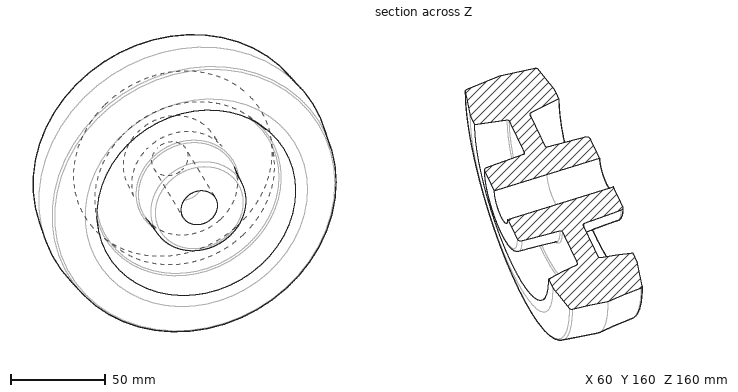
import cadquery as cq
import math

hub_length = 60.0
hub_radius = 26.0
hub_edge_fillet = 2.0
hub_draft = 3.0
bore_diameter = 20.0

web_thickness = 12.0
web_corner_fillet = 1.0

rim_width = 48.0
rim_inner_radius = 54.5
rim_draft = 11.0
rim_face_radius = 61.0

tread_diameter = 160.0
tread_half_width = 20.5
shoulder_radius = 77.85
shoulder_fillet = 1.4

hub_end = hub_length / 2
web_face = web_thickness / 2
rim_face = rim_width / 2
bore_radius = bore_diameter / 2
tread_radius = tread_diameter / 2

hub_base_radius = hub_radius + (hub_end - web_face) * math.tan(math.radians(hub_draft))
recess_floor_radius = rim_inner_radius - (rim_face - web_face) * math.tan(math.radians(rim_draft))

hub_edge = (-hub_end, hub_radius)
hub_base = (-web_face, hub_base_radius)
recess_floor_edge = (-web_face, recess_floor_radius)
shoulder = (-tread_half_width, shoulder_radius)
half_section = [
    (0, bore_radius),
    (-hub_end, bore_radius),
    hub_edge,
    hub_base,
    recess_floor_edge,
    (-rim_face, rim_inner_radius),
    (-rim_face, rim_face_radius),
    shoulder,
    (0, tread_radius),
]

corner_fillets = [
    (hub_edge, hub_edge_fillet),
    (hub_base, web_corner_fillet),
    (recess_floor_edge, web_corner_fillet),
    (shoulder, shoulder_fillet),
]


def rounded_section():
    """Face of the half section in the XY plane, with its corners rounded."""
    wire = cq.Wire.makePolygon([cq.Vector(x, radius, 0) for x, radius in half_section], close=True)
    for corner, fillet_radius in corner_fillets:
        target = cq.Vector(*corner, 0)
        vertex = min(wire.Vertices(), key=lambda v: (v.Center() - target).Length)
        wire = wire.fillet2D(fillet_radius, [vertex])
    return cq.Face.makeFromWires(wire)


def revolve_half():
    """Solid of the -X half of the wheel."""
    axis_start = cq.Vector(0, 0, 0)
    axis_end = cq.Vector(1, 0, 0)
    return cq.Workplane(cq.Solid.revolve(rounded_section(), 360, axis_start, axis_end))


near_half = revolve_half()
result = near_half.union(near_half.mirror("YZ"))